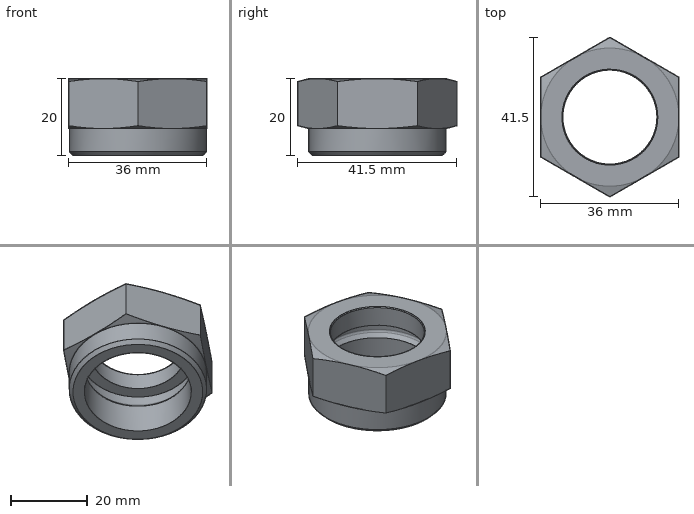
import cadquery as cq
import math

hex_sides = 6
half_sector = 180 / hex_sides
corner_diameter = 41.55
flat_width = corner_diameter * math.cos(math.radians(half_sector))
total_height = 20.0
hex_height = 12.95
hex_base = total_height - hex_height
hex_bevel_angle = 15.0

collar_diameter = 35.8
collar_chamfer = 1.0

bore_diameter = 24.5
bore_chamfer = 0.25
thread_diameter = 27.85
groove_diameter = 30.5
groove_top = total_height - 5.6
thread_top = total_height - 10.48
groove_fillet = 1.0
groove_angle = 45.0


def make_hex():
    """Hexagon with corners on Y, its top and bottom corners bevelled by cones."""
    prism = (
        cq.Workplane("XY", origin=(0, 0, hex_base))
        .polygon(hex_sides, corner_diameter)
        .extrude(hex_height)
        .rotate((0, 0, 0), (0, 0, 1), half_sector)
    )
    corner_radius = corner_diameter / 2
    flat_radius = flat_width / 2
    bevel_drop = (corner_radius - flat_radius) * math.tan(math.radians(hex_bevel_angle))
    envelope = (
        cq.Workplane("XZ")
        .moveTo(0, hex_base)
        .lineTo(flat_radius, hex_base)
        .lineTo(corner_radius, hex_base + bevel_drop)
        .lineTo(corner_radius, total_height - bevel_drop)
        .lineTo(flat_radius, total_height)
        .lineTo(0, total_height)
        .close()
        .revolve()
    )
    return prism.intersect(envelope)


def make_collar():
    """Round collar below the hexagon with a chamfered bottom edge."""
    collar = cq.Workplane("XY").circle(collar_diameter / 2).extrude(hex_base)
    return collar.faces("<Z").edges().chamfer(collar_chamfer)


def make_cavity():
    """Stepped bore: thread bore, relief groove with a sloped lower side, upper bore."""
    bore_radius = bore_diameter / 2
    thread_radius = thread_diameter / 2
    groove_radius = groove_diameter / 2
    groove_depth = groove_radius - thread_radius
    groove_slope_top = thread_top + groove_depth / math.tan(math.radians(groove_angle))

    half_angle = math.radians(groove_angle / 2)
    wall_tangent_z = groove_slope_top + groove_fillet * math.tan(half_angle)
    fillet_center_r = groove_radius - groove_fillet

    def fillet_point(angle):
        return (
            fillet_center_r + groove_fillet * math.cos(angle),
            wall_tangent_z - groove_fillet * math.sin(angle),
        )

    return (
        cq.Workplane("XZ")
        .moveTo(0, 0)
        .lineTo(thread_radius, 0)
        .lineTo(thread_radius, thread_top)
        .lineTo(*fillet_point(2 * half_angle))
        .threePointArc(fillet_point(half_angle), fillet_point(0))
        .lineTo(groove_radius, groove_top)
        .lineTo(bore_radius, groove_top)
        .lineTo(bore_radius, total_height - bore_chamfer)
        .lineTo(bore_radius + bore_chamfer, total_height)
        .lineTo(0, total_height)
        .close()
        .revolve()
    )


result = make_hex().union(make_collar()).cut(make_cavity())